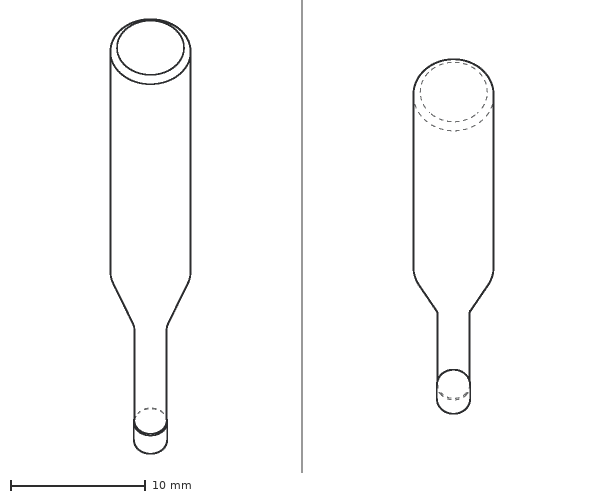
import cadquery as cq
import math

total_length = 50.0
shank_radius = 3.0
shank_chamfer = 0.5

shank_bottom = 21.6
taper_half_angle = math.radians(15)
neck_radius = 1.2
blend_radius = 6.0

head_radius = 1.25
head_length = 2.65
head_corner_radius = 0.25
head_back_chamfer = head_radius - neck_radius
head_back_chamfer_length = 0.15

blend_end_radius = neck_radius + blend_radius * (1 - math.cos(taper_half_angle))
cone_length = (shank_radius - blend_end_radius) / math.tan(taper_half_angle)
blend_top = shank_bottom - cone_length
blend_bottom = blend_top - blend_radius * math.sin(taper_half_angle)
half_angle = taper_half_angle / 2
blend_middle = (
    neck_radius + blend_radius * (1 - math.cos(half_angle)),
    blend_bottom + blend_radius * math.sin(half_angle),
)


def revolve_about_z(profile):
    """Turn a closed (radius, height) profile a full revolution about the Z axis."""
    return profile.close().revolve(360, (0, 0, 0), (0, 1, 0))


def make_shank():
    """Chamfered shank, cone, blend and neck, ending on the back of the head."""
    profile = (
        cq.Workplane("XZ")
        .moveTo(0, head_length)
        .lineTo(neck_radius, head_length)
        .lineTo(neck_radius, blend_bottom)
        .threePointArc(blend_middle, (blend_end_radius, blend_top))
        .lineTo(shank_radius, shank_bottom)
        .lineTo(shank_radius, total_length - shank_chamfer)
        .lineTo(shank_radius - shank_chamfer, total_length)
        .lineTo(0, total_length)
    )
    return revolve_about_z(profile)


def make_cutting_head():
    """Short cylinder with a rounded tip corner and a chamfer down to the neck size."""
    profile = (
        cq.Workplane("XZ")
        .lineTo(head_radius - head_corner_radius, 0)
        .radiusArc((head_radius, head_corner_radius), -head_corner_radius)
        .lineTo(head_radius, head_length - head_back_chamfer_length)
        .lineTo(head_radius - head_back_chamfer, head_length)
        .lineTo(0, head_length)
    )
    return revolve_about_z(profile)


shank = make_shank()
cutting_head = make_cutting_head()

result = cq.Compound.makeCompound([shank.val(), cutting_head.val()])